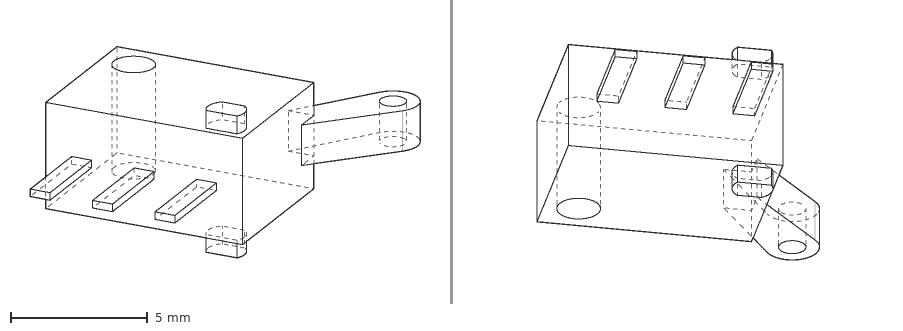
import cadquery as cq
import math

housing_width = 8.0
housing_depth = 6.0
housing_height = 4.2

hole_diameter = 1.6
hole_inset = 1.3

peg_diameter = 1.5
peg_x = 7.0
peg_y = 0.7
peg_front_y = 0.3
peg_rear_y = 1.3
peg_projection = 0.7

terminal_count = 3
terminal_pitch = 2.54
terminal_width = 0.8
terminal_thickness = 0.3
terminal_length = 3.5

lever_thickness = 1.6
eye_x = 10.0
eye_y = 8.5
eye_radius = 1.0
eye_hole_diameter = 1.0
lever_left_x = 6.95
lever_right_y = 4.97


def centred_block(width, depth, height):
    """Block whose width, depth and height are centred on the origin."""
    return cq.Workplane("XY").box(width, depth, height)


def make_pegs():
    """Flatted rod through the housing that sticks out as a peg at both ends."""
    rod_length = housing_height + 2 * peg_projection
    rod = cq.Workplane("XY").center(peg_x, peg_y).circle(peg_diameter / 2)
    rod = rod.extrude(rod_length / 2, both=True)
    flats = centred_block(peg_diameter, peg_rear_y - peg_front_y, rod_length)
    return rod.intersect(flats.translate((peg_x, (peg_front_y + peg_rear_y) / 2, 0)))


def make_terminal(x):
    """Flat terminal standing out of the front face at the given X."""
    blade = centred_block(terminal_width, terminal_length, terminal_thickness)
    return blade.translate((x, -terminal_length / 2, 0))


def make_housing():
    """Switch housing with its mounting hole, pegs and terminals."""
    block = centred_block(housing_width, housing_depth, housing_height)
    body = block.translate((housing_width / 2, housing_depth / 2, 0))
    hole = (
        cq.Workplane("XY")
        .center(hole_inset, housing_depth - hole_inset)
        .circle(hole_diameter / 2)
        .extrude(housing_height / 2, both=True)
    )
    body = body.cut(hole).union(make_pegs())
    for index in range(terminal_count):
        offset = (index - (terminal_count - 1) / 2) * terminal_pitch
        body = body.union(make_terminal(housing_width / 2 + offset))
    return body


def eye_point(angle):
    """Point on the rim of the lever eye."""
    return (eye_x + eye_radius * math.cos(angle), eye_y + eye_radius * math.sin(angle))


def tangent_angle(point, side):
    """Eye angle where the tangent from a point touches; side is +1 or -1."""
    dx = point[0] - eye_x
    dy = point[1] - eye_y
    return math.atan2(dy, dx) + side * math.acos(eye_radius / math.hypot(dx, dy))


def make_lever():
    """Lever that wraps the rear right corner of the housing and ends in an eye."""
    left_root = (lever_left_x, housing_depth)
    right_root = (housing_width, lever_right_y)
    left_angle = tangent_angle(left_root, -1)
    right_angle = tangent_angle(right_root, 1)
    tip_angle = (left_angle + right_angle) / 2 + math.pi
    lever = (
        cq.Workplane("XY")
        .moveTo(*left_root)
        .lineTo(*eye_point(left_angle))
        .threePointArc(eye_point(tip_angle), eye_point(right_angle))
        .lineTo(*right_root)
        .lineTo(housing_width, housing_depth)
        .close()
        .extrude(lever_thickness / 2, both=True)
    )
    eye_hole = (
        cq.Workplane("XY")
        .center(eye_x, eye_y)
        .circle(eye_hole_diameter / 2)
        .extrude(lever_thickness / 2, both=True)
    )
    return lever.cut(eye_hole)


housing = make_housing()
lever = make_lever()
result = cq.Compound.makeCompound([housing.solids().val(), lever.solids().val()])